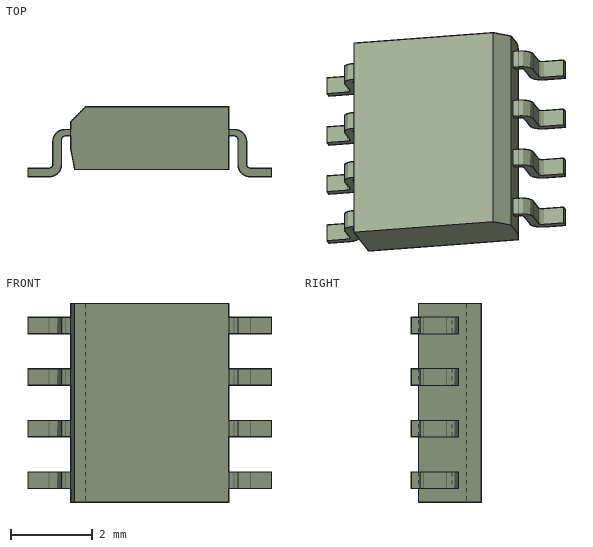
import cadquery as cq


body_width = 3.9
body_length = 4.9
body_height = 1.55
standoff = 0.18
chamfer = 0.37
taper_inset = 0.1
taper_height = 0.52

lead_span = 6.0
lead_count = 4
lead_pitch = 1.27
lead_width = 0.41
lead_thickness = 0.22
shoulder_thickness = 0.16
shoulder_top = 1.17
shank_setback = 0.61
foot_inner_radius = 0.09
shoulder_inner_radius = 0.1
shoulder_outer_radius = 0.3

body_side = body_width / 2
body_bottom = standoff
body_top = standoff + body_height
lead_tip = lead_span / 2
shank_outer = lead_tip - shank_setback
shank_inner = shank_outer - lead_thickness
shoulder_bottom = shoulder_top - shoulder_thickness
foot_outer_radius = foot_inner_radius + lead_thickness


def make_body():
    """Block with a bevelled upper edge and a tapered lower edge on its -X side."""
    profile = [
        (-body_side + taper_inset, body_bottom),
        (body_side, body_bottom),
        (body_side, body_top),
        (-body_side + chamfer, body_top),
        (-body_side, body_top - chamfer),
        (-body_side, body_bottom + taper_height),
    ]
    return cq.Workplane("XY").polyline(profile).close().extrude(body_length / 2, both=True)


def make_lead():
    """One S-shaped lead on the +X side, centred on Z = 0."""
    return (
        cq.Workplane("XY")
        .moveTo(body_side, shoulder_bottom)
        .lineTo(shank_inner - shoulder_inner_radius, shoulder_bottom)
        .radiusArc((shank_inner, shoulder_bottom - shoulder_inner_radius), shoulder_inner_radius)
        .lineTo(shank_inner, foot_outer_radius)
        .radiusArc((shank_inner + foot_outer_radius, 0), -foot_outer_radius)
        .lineTo(lead_tip, 0)
        .lineTo(lead_tip, lead_thickness)
        .lineTo(shank_outer + foot_inner_radius, lead_thickness)
        .radiusArc((shank_outer, lead_thickness + foot_inner_radius), foot_inner_radius)
        .lineTo(shank_outer, shoulder_top - shoulder_outer_radius)
        .radiusArc((shank_outer - shoulder_outer_radius, shoulder_top), -shoulder_outer_radius)
        .lineTo(body_side, shoulder_top)
        .close()
        .extrude(lead_width / 2, both=True)
    )


def add_leads(body):
    """Join a row of evenly spaced leads to each side of the body."""
    right_lead = make_lead()
    left_lead = right_lead.mirror("YZ")
    for index in range(lead_count):
        z = (index - (lead_count - 1) / 2) * lead_pitch
        for lead in (left_lead, right_lead):
            body = body.union(lead.translate((0, 0, z)))
    return body


result = add_leads(make_body())